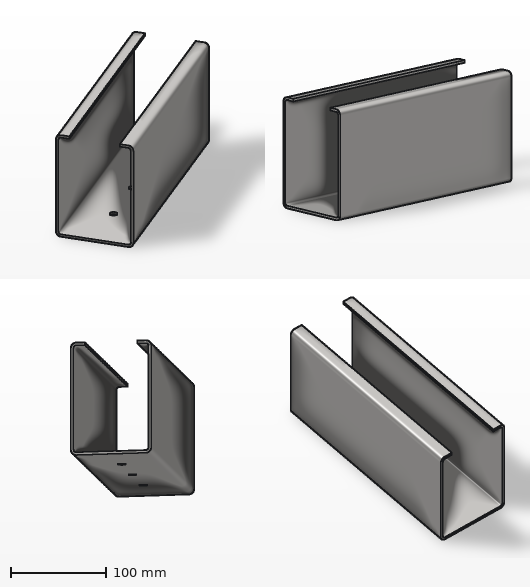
import cadquery as cq

width = 86.0
length = 250.0
height = 120.0

thickness = 3.0
outer_radius = 6.0
inner_radius = outer_radius - thickness
lip_width = 15.0

hole_diameter = 8.0
hole_count = 3
hole_pitch = length / (hole_count + 1)


def rounded_bar(bar_width, bar_height, radius):
    """Bar along Y, centred on the origin, with its four long edges rounded."""
    return cq.Workplane("XY").box(bar_width, length, bar_height).edges("|Y").fillet(radius)


def make_channel():
    """Rounded tube, opened along the top to leave two inward lips."""
    outside = rounded_bar(width, height, outer_radius)
    inside = rounded_bar(width - 2 * thickness, height - 2 * thickness, inner_radius)
    opening = (
        cq.Workplane("XY")
        .box(width - 2 * lip_width, length, height / 2, centered=(True, True, False))
    )
    return outside.cut(inside).cut(opening)


def make_base_holes():
    """Row of pins that pierce only the base."""
    return (
        cq.Workplane("XY", origin=(0, 0, -height / 2))
        .rarray(2.5, hole_pitch, 1, hole_count)
        .circle(hole_diameter / 2)
        .extrude(thickness)
    )


result = make_channel().cut(make_base_holes())